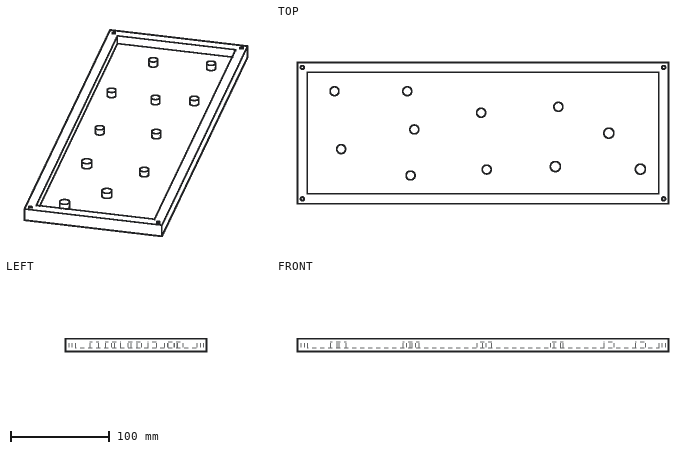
import cadquery as cq

length = 375.5
width = 143.0
height = 13.0
rim_width = 10.0
pocket_depth = 9.0
floor_thickness = height - pocket_depth

hole_diameter = 3.4
hole_inset = rim_width / 2

pin_height = 6.0
small_pin_diameter = 9.0
large_pin_diameter = 10.0

small_pin_centres = [
    (-150.2, 42.5),
    (-76.5, 42.5),
    (76.2, 26.5),
    (-2.0, 20.5),
    (-69.5, 3.8),
    (-143.5, -16.0),
    (3.8, -36.8),
    (-73.2, -42.8),
]
large_pin_centres = [
    (127.3, 0.0),
    (73.2, -33.8),
    (159.2, -36.5),
]


def make_tray():
    """Rectangular block with an open pocket, resting on Z = 0."""
    block = cq.Workplane("XY").box(length, width, height, centered=(True, True, False))
    pocket = (
        cq.Workplane("XY", origin=(0, 0, floor_thickness))
        .rect(length - 2 * rim_width, width - 2 * rim_width)
        .extrude(pocket_depth)
    )
    return block.cut(pocket)


def make_corner_holes():
    """Cylinders passing through the full height at the four corners."""
    return (
        cq.Workplane("XY")
        .rect(length - 2 * hole_inset, width - 2 * hole_inset, forConstruction=True)
        .vertices()
        .circle(hole_diameter / 2)
        .extrude(height)
    )


def make_pins(centres, diameter):
    """Pins running from the underside, so that they fuse with the floor."""
    return (
        cq.Workplane("XY")
        .pushPoints(centres)
        .circle(diameter / 2)
        .extrude(floor_thickness + pin_height)
    )


result = (
    make_tray()
    .cut(make_corner_holes())
    .union(make_pins(small_pin_centres, small_pin_diameter))
    .union(make_pins(large_pin_centres, large_pin_diameter))
    .clean()
)